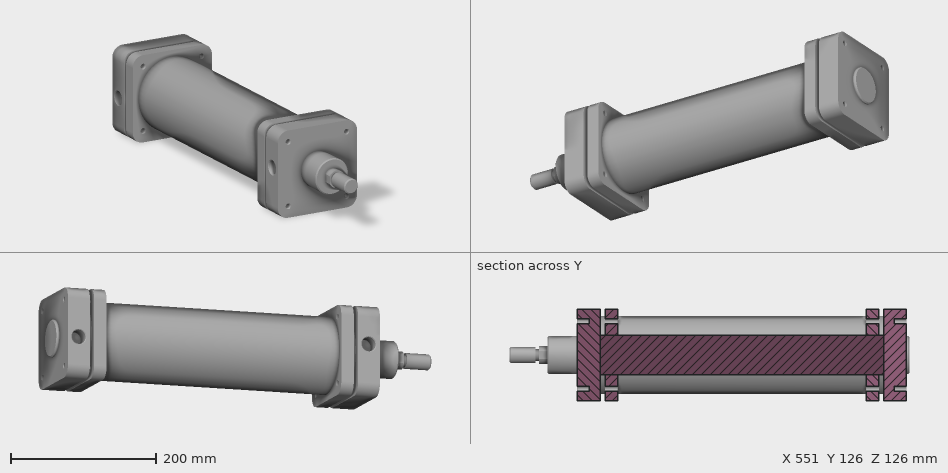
import cadquery as cq

TOTAL_LENGTH = 551.0
REAR_BOSS_LENGTH = 4.0
CAP_THICKNESS = 32.0
CAP_GAP = 6.0
FLANGE_THICKNESS = 18.0
CAP_SPAN = 454.0
FRONT_BOSS_LENGTH = 41.0

REAR_FACE_X = REAR_BOSS_LENGTH
FRONT_FACE_X = REAR_FACE_X + CAP_SPAN
BARREL_START_X = REAR_FACE_X + CAP_THICKNESS
BARREL_END_X = FRONT_FACE_X - CAP_THICKNESS
REAR_FLANGE_X = BARREL_START_X + CAP_GAP
FRONT_FLANGE_X = BARREL_END_X - CAP_GAP - FLANGE_THICKNESS
ROD_START_X = FRONT_FACE_X + FRONT_BOSS_LENGTH

PLATE_SIZE = 126.0
CORNER_RADIUS = 16.0
BOLT_SPACING = 93.0
BOLT_HOLE_DIAMETER = 6.0
BOLT_HOLE_DEPTH = 16.5
BOLT_COUNTERSINK = 1.0

BOSS_DIAMETER = 52.5
BOSS_CHAMFER = 1.5
PORT_DIAMETER = 20.0
PORT_DEPTH = 22.0
PORT_COUNTERSINK = 1.0
PORT_OFFSET_Z = 7.5

BARREL_DIAMETER = 108.0

ROD_DIAMETER = 25.0
ACROSS_FLATS = 22.0
WRENCH_LENGTH = 12.0
NECK_DIAMETER = 16.5
NECK_LENGTH = 4.5
THREAD_DIAMETER = 22.0
THREAD_CHAMFER = 1.5


def plane_at(x):
    """Plane across the cylinder axis, with local x along Y and local y along Z."""
    return cq.Workplane("YZ", origin=(x, 0, 0))


def rounded_plate(x, thickness):
    """Square plate with round corners, from x to x + thickness."""
    plate = plane_at(x).rect(PLATE_SIZE, PLATE_SIZE).extrude(thickness)
    return plate.edges("|X").fillet(CORNER_RADIUS)


def countersunk_hole(origin, direction, diameter, depth, countersink):
    """Cutter for a flat-bottomed hole whose mouth is widened by a 45 degree countersink."""
    radius = diameter / 2
    hole = cq.Solid.makeCylinder(radius, depth, origin, direction)
    mouth = cq.Solid.makeCone(radius + countersink, radius, countersink, origin, direction)
    return hole.fuse(mouth)


def drill_corners(plate, face_x, direction_x, depth):
    """Drill the four corner holes into the face at face_x."""
    half = BOLT_SPACING / 2
    for y in (-half, half):
        for z in (-half, half):
            plate = plate.cut(countersunk_hole(
                cq.Vector(face_x, y, z), cq.Vector(direction_x, 0, 0),
                BOLT_HOLE_DIAMETER, depth, BOLT_COUNTERSINK))
    return plate


def drill_port(cap, center_x, center_z):
    """Drill the blind fluid port into the -Y side of a cap."""
    return cap.cut(countersunk_hole(
        cq.Vector(center_x, -PLATE_SIZE / 2, center_z), cq.Vector(0, 1, 0),
        PORT_DIAMETER, PORT_DEPTH, PORT_COUNTERSINK))


def make_rear_cap():
    cap = rounded_plate(REAR_FACE_X, CAP_THICKNESS)
    boss = plane_at(0).circle(BOSS_DIAMETER / 2).extrude(REAR_BOSS_LENGTH)
    cap = cap.union(boss.faces("<X").chamfer(BOSS_CHAMFER))
    cap = drill_corners(cap, REAR_FACE_X, 1, BOLT_HOLE_DEPTH)
    return drill_port(cap, REAR_FACE_X + CAP_THICKNESS / 2, -PORT_OFFSET_Z)


def make_front_cap():
    cap = rounded_plate(BARREL_END_X, CAP_THICKNESS)
    boss = plane_at(FRONT_FACE_X).circle(BOSS_DIAMETER / 2).extrude(FRONT_BOSS_LENGTH)
    cap = cap.union(boss.faces(">X").chamfer(BOSS_CHAMFER))
    cap = drill_corners(cap, FRONT_FACE_X, -1, BOLT_HOLE_DEPTH)
    return drill_port(cap, FRONT_FACE_X - CAP_THICKNESS / 2, PORT_OFFSET_Z)


def make_flange(x, drilled_face_x, drill_direction):
    """Flange ring around the barrel, with corner holes right through it."""
    flange = rounded_plate(x, FLANGE_THICKNESS)
    flange = flange.cut(plane_at(x).circle(BARREL_DIAMETER / 2).extrude(FLANGE_THICKNESS))
    return drill_corners(flange, drilled_face_x, drill_direction, FLANGE_THICKNESS)


def make_barrel():
    return plane_at(BARREL_START_X).circle(BARREL_DIAMETER / 2).extrude(BARREL_END_X - BARREL_START_X)


def make_rod():
    """Rod end standing on the front boss: wrench section, neck and threaded end."""
    wrench_end_x = ROD_START_X + WRENCH_LENGTH
    thread_start_x = wrench_end_x + NECK_LENGTH
    wrench = plane_at(ROD_START_X).circle(ROD_DIAMETER / 2).extrude(WRENCH_LENGTH)
    flats = plane_at(ROD_START_X).rect(ACROSS_FLATS, ROD_DIAMETER).extrude(WRENCH_LENGTH)
    neck = plane_at(wrench_end_x).circle(NECK_DIAMETER / 2).extrude(NECK_LENGTH)
    thread = plane_at(thread_start_x).circle(THREAD_DIAMETER / 2).extrude(TOTAL_LENGTH - thread_start_x)
    thread = thread.faces(">X").chamfer(THREAD_CHAMFER)
    return wrench.intersect(flats).union(neck).union(thread)


rear_cap = make_rear_cap()
front_cap = make_front_cap()
barrel = make_barrel()
rod = make_rod()

flange_layout = [
    (REAR_FLANGE_X, REAR_FLANGE_X + FLANGE_THICKNESS, -1),
    (FRONT_FLANGE_X, FRONT_FLANGE_X, 1),
]
flanges = [make_flange(*placement) for placement in flange_layout]

result = cq.Compound.makeCompound([
    rear_cap.val(),
    front_cap.val(),
    barrel.val(),
    *[flange.val() for flange in flanges],
    rod.val(),
])